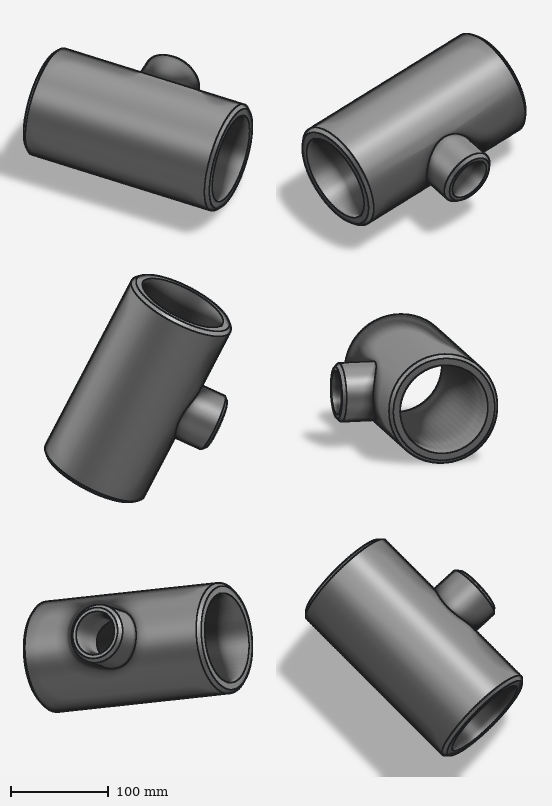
import cadquery as cq

run_length = 209.3
run_diameter = 114.3
run_bore = 92.3

branch_reach = 89.0
branch_diameter = 60.5
branch_bore = 45.2

end_chamfer = 3.8


def run_cylinder(diameter):
    """Cylinder along X over the whole length of the run."""
    return cq.Workplane("YZ").circle(diameter / 2).extrude(run_length / 2, both=True)


def branch_cylinder(diameter):
    """Cylinder along +Y from the run axis to the branch end."""
    return cq.Workplane("XZ").circle(diameter / 2).extrude(-branch_reach)


run = run_cylinder(run_diameter).faces("<X or >X").edges().chamfer(end_chamfer)
branch = branch_cylinder(branch_diameter).faces(">Y").edges().chamfer(end_chamfer)

result = run.union(branch).cut(run_cylinder(run_bore)).cut(branch_cylinder(branch_bore))